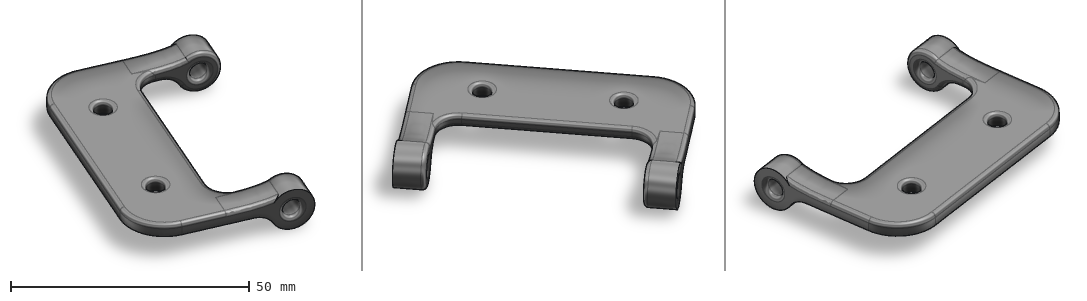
import cadquery as cq
import math

length = 60.0
edge_round = length / 60
thickness = length / 20
barrel_radius = length / 12
bore_radius = length / 30
arm_width = 7 * length / 60
plate_depth = length / 3
plate_back = -length / 4
plate_front = plate_back - plate_depth
outer_corner = length / 6
inner_corner = length / 12
underside_radius = length / 12
screw_spacing = length / 2
screw_radius = length / 30
crease_distance = 2.9
crease_slope = 0.3

margin = length / 100
half_length = length / 2
arm_inner = half_length - arm_width
leg_end = plate_back + inner_corner

underside_end = -math.sqrt((barrel_radius + underside_radius) ** 2 - underside_radius**2)
barrel_share = barrel_radius / (barrel_radius + underside_radius)
barrel_touch = (underside_end * barrel_share, -underside_radius * barrel_share)
arc_angle = (math.atan2(underside_radius, -underside_end) + math.pi / 2) / 2
underside_mid = (
    underside_end + underside_radius * math.cos(arc_angle),
    -underside_radius + underside_radius * math.sin(arc_angle),
)
crease = (-crease_distance, math.sqrt(barrel_radius**2 - crease_distance**2))


def make_plate():
    """Plate with concave corners beside the arms and its back edge rounded above and below."""
    blank = (
        cq.Workplane("XY")
        .moveTo(-half_length, leg_end)
        .lineTo(-half_length, plate_front)
        .lineTo(half_length, plate_front)
        .lineTo(half_length, leg_end)
        .lineTo(arm_inner, leg_end)
        .radiusArc((arm_inner - inner_corner, plate_back), inner_corner)
        .lineTo(-arm_inner + inner_corner, plate_back)
        .radiusArc((-arm_inner, leg_end), inner_corner)
        .close()
        .extrude(thickness)
    )
    blank = blank.edges("|Z and <Y").fillet(outer_corner)
    blank = blank.faces(">Z").edges("not >Y").fillet(edge_round)
    inner_edges = cq.selectors.BoxSelector(
        (-arm_inner - margin, plate_back - margin, -margin), (arm_inner + margin, leg_end, margin)
    )
    return blank.faces("<Z").edges(inner_edges).fillet(edge_round)


def make_arm():
    """Left arm: a barrel joined to the plate by a tapering web."""
    barrel = (
        cq.Workplane("YZ", origin=(-half_length, 0, 0))
        .circle(barrel_radius)
        .extrude(arm_width)
        .faces(">X")
        .edges()
        .fillet(edge_round)
    )
    web = (
        cq.Workplane("YZ", origin=(-half_length, 0, 0))
        .lineTo(*barrel_touch)
        .threePointArc(underside_mid, (underside_end, 0))
        .lineTo(plate_back, 0)
        .lineTo(plate_back, thickness)
        .spline([crease], tangents=[(1, 0), (1, crease_slope)], includeCurrent=True)
        .close()
        .extrude(arm_width)
    )
    top_edges = cq.selectors.BoxSelector(
        (-half_length - margin, plate_back, thickness), (half_length, 0, barrel_radius)
    )
    web = web.edges("<X or >X").edges(top_edges).fillet(edge_round)
    underside_edge = cq.selectors.BoxSelector(
        (-arm_inner - margin, underside_end, -barrel_radius),
        (-arm_inner + margin, barrel_touch[0], 0),
    )
    web = web.edges(underside_edge).fillet(edge_round)
    return barrel.union(web)


def rounded_bore():
    """Cutter for the hinge bore, flared by a round at both arm faces."""
    flare_radius = bore_radius + edge_round
    diagonal = edge_round * (1 - math.sqrt(0.5))
    inner_start = -arm_inner - edge_round
    return (
        cq.Workplane("XY")
        .moveTo(-half_length, 0)
        .lineTo(-half_length, flare_radius)
        .threePointArc(
            (-half_length + diagonal, bore_radius + diagonal),
            (-half_length + edge_round, bore_radius),
        )
        .lineTo(inner_start, bore_radius)
        .threePointArc((-arm_inner - diagonal, bore_radius + diagonal), (-arm_inner, flare_radius))
        .lineTo(-arm_inner, 0)
        .close()
        .revolve(360, (0, 0, 0), (1, 0, 0))
    )


def cut_screw_holes(plate):
    """Two through holes with rounded upper rims."""
    hole_y = plate_front + outer_corner
    centres = [(-screw_spacing / 2, hole_y), (screw_spacing / 2, hole_y)]
    drilled = plate.cut(cq.Workplane("XY").pushPoints(centres).circle(screw_radius).extrude(thickness))
    for x, y in centres:
        drilled = drilled.edges(cq.selectors.NearestToPointSelector((x, y, thickness))).fillet(edge_round)
    return drilled


left_arm = make_arm().cut(rounded_bore())
right_arm = left_arm.mirror("YZ")
result = cut_screw_holes(make_plate()).union(left_arm).union(right_arm)